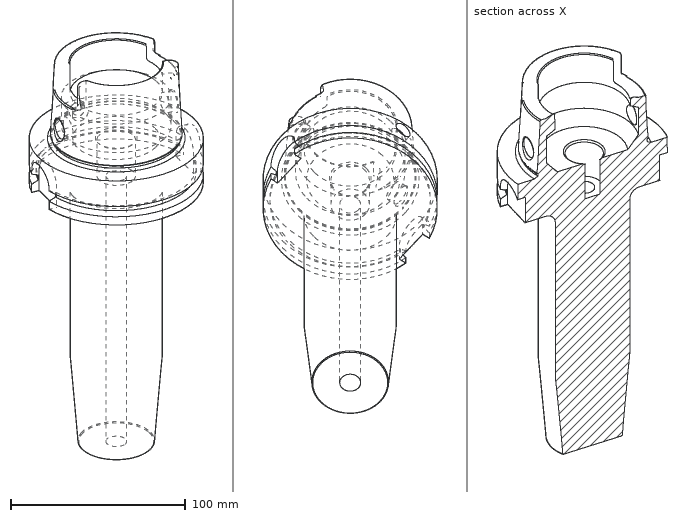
import cadquery as cq
import math


shank_length = 50.0
taper_gauge_radius = 37.5
taper_gauge_height = 10.0
taper_slope = 0.05
relief_radius = 37.2
relief_bottom = 1.2
relief_foot_radius = 39.5
relief_top = 3.0
rim_fillet = 1.7

flange_radius = 50.0
flange_thickness = 29.0
groove_radius = 46.0
groove_center_z = -20.2
groove_floor_width = 3.2
groove_mouth_width = 6.7

total_length = 250.0
shaft_radius = 26.5
neck_fillet = 6.0
nose_length = 57.0
nose_radius = 22.0
nose_chamfer = 0.5

bore_radius = 26.5
bore_mouth_radius = 27.2
bore_mouth_depth = 0.5
bore_straight_depth = 20.0
clamp_radius = 31.5
clamp_shoulder_angle = 30.0
clamp_floor_height = 8.2
bore_floor_radius = 25.0
bore_depth = 50.0
thread_radius = 11.0
thread_chamfer = 1.0
thread_depth = 25.0
through_radius = 6.0

notch_half_width = 10.0
notch_corner_y = 26.5
notch_corner_radius = 5.5
notch_floor_fillet = 1.7
notch_floor_bevel = 0.7
front_notch_depth = 15.7
back_notch_depth = 10.0

cross_hole_radius = 6.0
countersink_start_y = 36.2
countersink_depth = 2.5
countersink_half_angle = 45.0
cross_hole_z = 15.2
chip_hole_radius = 5.0
chip_hole_z = -6.7
chip_hole_depth = 4.5

key_half_width = 11.0
key_top_z = -4.7
key_floor_y = 44.0

nose_z = shank_length - total_length


def taper_radius(z):
    return taper_gauge_radius - taper_slope * (z - taper_gauge_height)


def turned_body():
    """Outer revolved shape, solid on the axis."""
    groove_floor = groove_floor_width / 2
    groove_mouth = groove_mouth_width / 2
    fillet_mid = neck_fillet * (1 - math.sqrt(0.5))
    neck_radius = shaft_radius + neck_fillet
    nose_slope = (shaft_radius - nose_radius) / nose_length
    profile = (
        cq.Workplane("XZ")
        .moveTo(0, nose_z)
        .lineTo(nose_radius - nose_chamfer, nose_z)
        .lineTo(nose_radius + nose_slope * nose_chamfer, nose_z + nose_chamfer)
        .lineTo(shaft_radius, nose_z + nose_length)
        .lineTo(shaft_radius, -flange_thickness - neck_fillet)
        .threePointArc(
            (shaft_radius + fillet_mid, -flange_thickness - fillet_mid),
            (neck_radius, -flange_thickness),
        )
        .lineTo(flange_radius, -flange_thickness)
        .lineTo(flange_radius, groove_center_z - groove_mouth)
        .lineTo(groove_radius, groove_center_z - groove_floor)
        .lineTo(groove_radius, groove_center_z + groove_floor)
        .lineTo(flange_radius, groove_center_z + groove_mouth)
        .lineTo(flange_radius, 0)
        .lineTo(relief_foot_radius, 0)
        .lineTo(relief_radius, relief_bottom)
        .lineTo(relief_radius, relief_top)
        .lineTo(taper_radius(relief_top), relief_top)
        .lineTo(taper_radius(shank_length), shank_length)
        .lineTo(0, shank_length)
        .close()
    )
    body = profile.revolve(360, (0, 0, 0), (0, 1, 0))
    return body.faces(">Z").edges().fillet(rim_fillet)


def axial_bores():
    """Stepped bore open at the shank rim and running through the nose."""
    bore_floor = shank_length - bore_depth
    shoulder_top = shank_length - bore_straight_depth
    shoulder_height = (clamp_radius - bore_radius) * math.tan(math.radians(clamp_shoulder_angle))
    thread_floor = bore_floor - thread_depth
    profile = (
        cq.Workplane("XZ")
        .moveTo(0, nose_z)
        .lineTo(through_radius, nose_z)
        .lineTo(through_radius, thread_floor)
        .lineTo(thread_radius, thread_floor)
        .lineTo(thread_radius, bore_floor - thread_chamfer)
        .lineTo(thread_radius + thread_chamfer, bore_floor)
        .lineTo(bore_floor_radius, bore_floor)
        .lineTo(clamp_radius, bore_floor + clamp_floor_height)
        .lineTo(clamp_radius, shoulder_top - shoulder_height)
        .lineTo(bore_radius, shoulder_top)
        .lineTo(bore_radius, shank_length - bore_mouth_depth)
        .lineTo(bore_mouth_radius, shank_length)
        .lineTo(0, shank_length)
        .close()
    )
    return profile.revolve(360, (0, 0, 0), (0, 1, 0))


def opposite(shape):
    return shape.rotate((0, 0, 0), (0, 0, 1), 180)


def notch_half_prism(height):
    """Right half of a +Y notch outline, extruded upward from z = 0.

    The wall turns outward round a corner arc and leaves it along the tangent
    at the point of the arc farthest from the axis.
    """
    outer = 2 * flange_radius
    corner_x = notch_half_width + notch_corner_radius
    exit_angle = math.atan2(notch_corner_y, corner_x)
    middle_angle = (math.pi + exit_angle) / 2

    def corner_point(angle):
        return (
            corner_x + notch_corner_radius * math.cos(angle),
            notch_corner_y + notch_corner_radius * math.sin(angle),
        )

    exit_x, exit_y = corner_point(exit_angle)
    outer_wall_y = exit_y - (outer - exit_x) / math.tan(exit_angle)
    return (
        cq.Workplane("XY")
        .lineTo(notch_half_width, 0)
        .lineTo(notch_half_width, notch_corner_y)
        .threePointArc(corner_point(middle_angle), (exit_x, exit_y))
        .lineTo(outer, outer_wall_y)
        .lineTo(outer, outer)
        .lineTo(0, outer)
        .close()
        .extrude(height)
    )


def drive_notch(depth):
    """Notch on the +Y side, with rounded floor edges and a bevel where the floor meets the taper."""
    floor_z = shank_length - depth
    half = notch_half_prism(depth)
    notch = half.union(half.mirror("YZ")).faces("<Z").edges().fillet(notch_floor_fillet)
    notch = notch.translate((0, 0, floor_z))

    floor_radius = taper_radius(floor_z)
    bevel_ring = (
        cq.Workplane("XZ")
        .moveTo(floor_radius - notch_floor_bevel, floor_z)
        .lineTo(floor_radius + notch_floor_bevel, floor_z - 2 * notch_floor_bevel)
        .lineTo(floor_radius + notch_floor_bevel, floor_z)
        .close()
        .revolve(360, (0, 0, 0), (0, 1, 0))
    )
    bevel_width = 2 * (notch_half_width + notch_floor_fillet)
    bevel_zone = cq.Workplane("XY", origin=(0, flange_radius / 2, floor_z)).box(
        bevel_width, flange_radius, depth
    )
    return notch.union(bevel_ring.intersect(bevel_zone))


def notched_envelope():
    """Plain cylinder around the part with both notches cut and the top edges of their walls rounded."""
    cylinder = (
        cq.Workplane("XY", origin=(0, 0, nose_z))
        .circle(flange_radius)
        .extrude(total_length)
    )
    notched = (
        cylinder
        .cut(drive_notch(back_notch_depth))
        .cut(opposite(drive_notch(front_notch_depth)))
    )

    def is_wall_edge(edge):
        end_radii = [math.hypot(p.x, p.y) for p in (edge.startPoint(), edge.endPoint())]
        return min(end_radii) < taper_gauge_radius

    return notched.faces(">Z").edges().filter(is_wall_edge).fillet(rim_fillet)


def key_slot():
    """Round-topped slot on the +Y side of the flange, open at the bottom."""
    arc_z = key_top_z - key_half_width
    return (
        cq.Workplane("XZ", origin=(0, flange_radius, 0))
        .moveTo(-key_half_width, -flange_thickness)
        .lineTo(-key_half_width, arc_z)
        .threePointArc((0, key_top_z), (key_half_width, arc_z))
        .lineTo(key_half_width, -flange_thickness)
        .close()
        .extrude(flange_radius - key_floor_y)
    )


def cross_hole():
    """Through hole along Y, countersunk where it meets the taper on both sides."""
    hole = (
        cq.Workplane("XZ", origin=(0, 0, cross_hole_z))
        .circle(cross_hole_radius)
        .extrude(flange_radius, both=True)
    )
    countersink = (
        cq.Workplane("XZ", origin=(0, -countersink_start_y, cross_hole_z))
        .circle(cross_hole_radius)
        .extrude(countersink_depth, taper=-countersink_half_angle)
    )
    return hole.union(countersink).union(opposite(countersink))


def chip_hole():
    """Blind round pocket in the flange rim on the -X side."""
    return (
        cq.Workplane("YZ", origin=(-flange_radius, 0, chip_hole_z))
        .circle(chip_hole_radius)
        .extrude(chip_hole_depth)
    )


result = (
    turned_body()
    .intersect(notched_envelope())
    .cut(axial_bores())
    .cut(cross_hole())
    .cut(key_slot())
    .cut(opposite(key_slot()))
    .cut(chip_hole())
)